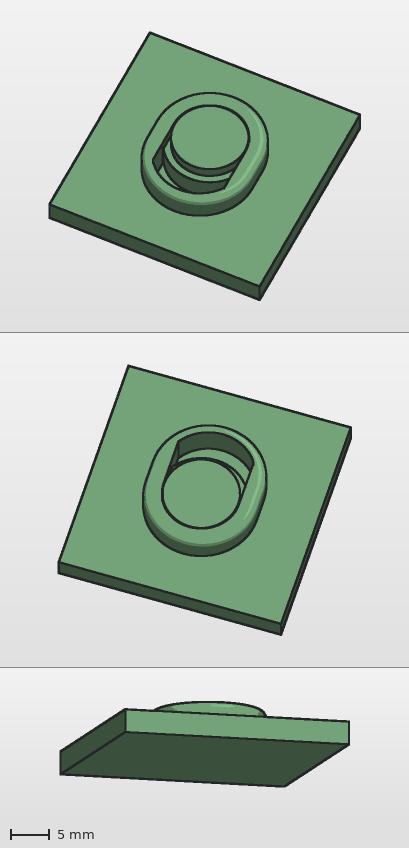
import cadquery as cq
import math

plate_side = 30.0
plate_thickness = 3.0
boss_width = 15.0
boss_height = 3.0
boss_fillet = 1.0
slide_travel = 3.0

head_diameter = 10.0
flange_diameter = 12.0
lip_thickness = 1.5
flange_thickness = 3.0
side_clearance = 0.1

top_z = plate_thickness + boss_height
lip_z = top_z - lip_thickness
floor_z = lip_z - flange_thickness
slot_width = head_diameter + 2 * side_clearance
recess_diameter = flange_diameter + 2 * side_clearance
button_y = slide_travel / 2


def make_boss():
    """Obround block, elongated along Y by the slide travel, with a rounded top rim."""
    boss = (
        cq.Workplane("XY", origin=(0, 0, plate_thickness))
        .slot2D(slide_travel + boss_width, boss_width, 90)
        .extrude(boss_height)
    )
    return boss.faces(">Z").edges().fillet(boss_fillet)


def make_slot():
    """Straight-sided slot: round at the +Y end, closed at -Y by a wider arc around the travel end."""
    half_width = slot_width / 2
    end_radius = recess_diameter / 2
    end_center_y = -slide_travel / 2
    corner_y = end_center_y - math.sqrt(end_radius**2 - half_width**2)
    return (
        cq.Workplane("XY", origin=(0, 0, floor_z))
        .moveTo(-half_width, corner_y)
        .lineTo(-half_width, button_y)
        .threePointArc((0, button_y + half_width), (half_width, button_y))
        .lineTo(half_width, corner_y)
        .threePointArc((0, end_center_y - end_radius), (-half_width, corner_y))
        .close()
        .extrude(top_z - floor_z)
    )


def make_flange_recess():
    """Round undercut below the lip that holds the button flange."""
    return (
        cq.Workplane("XY", origin=(0, button_y, floor_z))
        .circle(recess_diameter / 2)
        .extrude(flange_thickness)
    )


def make_housing():
    plate = cq.Workplane("XY").box(
        plate_side, plate_side, plate_thickness, centered=(True, True, False)
    )
    return plate.union(make_boss()).cut(make_flange_recess()).cut(make_slot())


def make_button():
    flange = (
        cq.Workplane("XY", origin=(0, button_y, floor_z))
        .circle(flange_diameter / 2)
        .extrude(flange_thickness)
    )
    head = (
        cq.Workplane("XY", origin=(0, button_y, lip_z))
        .circle(head_diameter / 2)
        .extrude(lip_thickness)
    )
    return flange.union(head)


housing = make_housing()
button = make_button()
result = cq.Compound.makeCompound([housing.val(), button.val()])